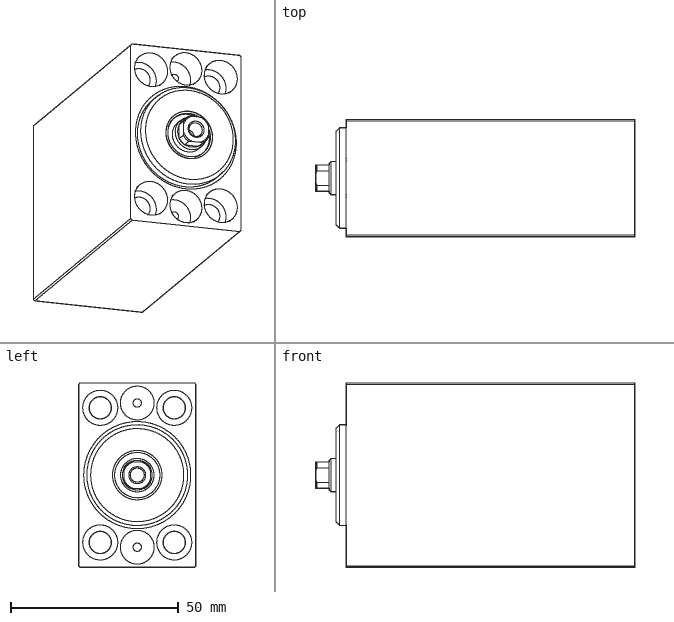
import cadquery as cq
import math

OVERALL_LENGTH = 95.0
ROD_PROTRUSION = 9.0
HOUSING_LENGTH = OVERALL_LENGTH - ROD_PROTRUSION
HOUSING_WIDTH = 35.0
HOUSING_HEIGHT = 55.0
EDGE_CHAMFER = 0.5

MOUNT_Y = 11.0
MOUNT_Z = 20.0
MOUNT_BORE_DIAMETER = 10.45
MOUNT_HOLE_DIAMETER = 6.6

PORT_Z = 21.5
PORT_BORE_DIAMETER = 10.1
PORT_HOLE_DIAMETER = 2.5
PORT_HOLE_DEPTH = 19.0
COUNTERBORE_DEPTH = 10.0

GLAND_DIAMETER = 30.0
GLAND_PROTRUSION = 3.0
GLAND_DEPTH = 19.0
GLAND_CHAMFER_LENGTH = 1.1
GLAND_CHAMFER_WIDTH = 1.1
BORE_MOUTH_CHAMFER = 0.95

WIPER_OUTER_DIAMETER = 14.7
WIPER_OUTER_DEPTH = 0.2
WIPER_INNER_DIAMETER = 13.5
WIPER_INNER_DEPTH = 1.1

ROD_DIAMETER = 10.0
ROD_SHOULDER_X = -5.0
ROD_SHOULDER_CHAMFER = 0.6
HEAD_DIAMETER = 9.0
HEAD_ACROSS_FLATS = 7.9
HEAD_TIP_CHAMFER = 0.4
CENTRE_HOLE_DIAMETER = 4.2
CENTRE_HOLE_MOUTH_DIAMETER = 5.0
CENTRE_HOLE_DEPTH = 7.6
DRILL_POINT_ANGLE = 118.0


def cylinder(diameter, start_x, end_x, y=0, z=0):
    """Cylinder along X between two X positions."""
    disc = cq.Workplane("YZ", origin=(start_x, y, z)).circle(diameter / 2)
    return disc.extrude(end_x - start_x)


def revolve_about_x(profile):
    """Solid of revolution about X from (x, radius) points."""
    return cq.Workplane("XY").polyline(profile).close().revolve(360, (0, 0, 0), (1, 0, 0))


def stepped_hole(y, z, bore_diameter, hole_diameter, hole_depth):
    """Cutter for a counterbored hole that starts at the housing front face."""
    bore = cylinder(bore_diameter, 0, COUNTERBORE_DEPTH, y, z)
    return bore.union(cylinder(hole_diameter, 0, hole_depth, y, z))


def make_housing():
    block = cq.Workplane("XY").box(
        HOUSING_LENGTH, HOUSING_WIDTH, HOUSING_HEIGHT, centered=(False, True, True)
    )
    block = block.edges("|X").chamfer(EDGE_CHAMFER)

    bore_radius = GLAND_DIAMETER / 2
    gland_bore = revolve_about_x([
        (0, 0),
        (0, bore_radius + BORE_MOUTH_CHAMFER),
        (BORE_MOUTH_CHAMFER, bore_radius),
        (GLAND_DEPTH, bore_radius),
        (GLAND_DEPTH, 0),
    ])
    block = block.cut(gland_bore)

    for z_side in (-1, 1):
        port = stepped_hole(
            0, z_side * PORT_Z, PORT_BORE_DIAMETER, PORT_HOLE_DIAMETER, PORT_HOLE_DEPTH
        )
        block = block.cut(port)
        for y_side in (-1, 1):
            mount = stepped_hole(
                y_side * MOUNT_Y, z_side * MOUNT_Z,
                MOUNT_BORE_DIAMETER, MOUNT_HOLE_DIAMETER, HOUSING_LENGTH,
            )
            block = block.cut(mount)
    return block


def make_gland():
    radius = GLAND_DIAMETER / 2
    rod_radius = ROD_DIAMETER / 2
    outer_radius = WIPER_OUTER_DIAMETER / 2
    inner_radius = WIPER_INNER_DIAMETER / 2
    face_x = -GLAND_PROTRUSION
    step_x = face_x + WIPER_OUTER_DEPTH
    floor_x = face_x + WIPER_INNER_DEPTH
    return revolve_about_x([
        (floor_x, rod_radius),
        (floor_x, inner_radius),
        (step_x, inner_radius),
        (step_x, outer_radius),
        (face_x, outer_radius),
        (face_x, radius - GLAND_CHAMFER_WIDTH),
        (face_x + GLAND_CHAMFER_LENGTH, radius),
        (GLAND_DEPTH, radius),
        (GLAND_DEPTH, rod_radius),
    ])


def make_rod():
    tip_x = -ROD_PROTRUSION
    shank = cylinder(ROD_DIAMETER, ROD_SHOULDER_X, GLAND_DEPTH)
    shank = shank.faces("<X").chamfer(ROD_SHOULDER_CHAMFER)

    head = cylinder(HEAD_DIAMETER, tip_x, ROD_SHOULDER_X)
    head = head.faces("<X").chamfer(HEAD_TIP_CHAMFER)
    flats = cq.Workplane("YZ", origin=(tip_x, 0, 0)).rect(HEAD_ACROSS_FLATS, HEAD_ACROSS_FLATS)
    head = head.intersect(flats.extrude(ROD_SHOULDER_X - tip_x))

    hole_radius = CENTRE_HOLE_DIAMETER / 2
    mouth_radius = CENTRE_HOLE_MOUTH_DIAMETER / 2
    hole_end_x = tip_x + CENTRE_HOLE_DEPTH
    point_length = hole_radius / math.tan(math.radians(DRILL_POINT_ANGLE / 2))
    centre_hole = revolve_about_x([
        (tip_x, 0),
        (tip_x, mouth_radius),
        (tip_x + mouth_radius - hole_radius, hole_radius),
        (hole_end_x, hole_radius),
        (hole_end_x + point_length, 0),
    ])
    return shank.union(head).cut(centre_hole)


housing = make_housing()
gland = make_gland()
rod = make_rod()

result = cq.Compound.makeCompound([housing.val(), gland.val(), rod.val()])